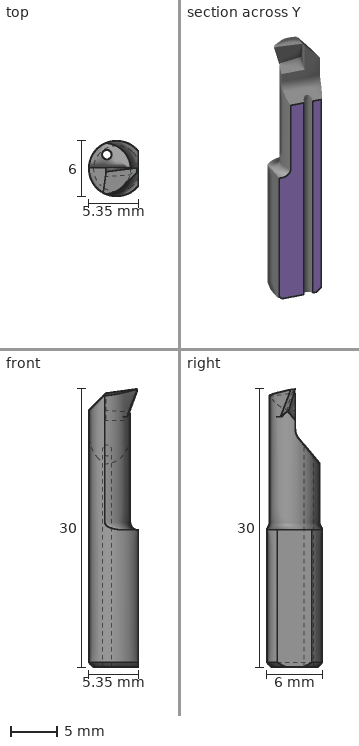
import cadquery as cq
import math

SHANK_RADIUS = 3.0
TOTAL_LENGTH = 30.0
END_CHAMFER = 0.5
FLAT_X = 2.35

NECK_RADIUS = 2.725
NECK_EDGE_X = 1.5
NECK_CENTRE_X = NECK_EDGE_X - NECK_RADIUS
SHOULDER_Z = 14.8
NECK_FILLET = 0.8

NOTCH_FACE_Y = 0.1
NOTCH_CORNER_Z = 25.08
NOTCH_SLOPE_ANGLE = 40.0
NOTCH_FILLET = 1.5

TIP_X = 2.32
TIP_Y = 0.08
TIP_ROUNDING_LOSS = 0.03
TIP_POINT = (TIP_X, TIP_Y, TOTAL_LENGTH + TIP_ROUNDING_LOSS)
RELIEF_ANGLE = 7.0
RELIEF_SLOPE = math.tan(math.radians(RELIEF_ANGLE))
END_FACE_NORMAL = (-RELIEF_SLOPE, -RELIEF_SLOPE, 1)
TIP_BASE_Z = 27.0
TIP_SIDE_ANGLE = 45.0
FLANK_ANGLE = 18.5
NOSE_RADIUS = 0.15
BACK_BEVEL_START_Z = 27.68
BACK_BEVEL_NORMAL = (-1, 0, 1)

RAKE_POCKET_X = -1.17
RAKE_POCKET_Z = 26.6
RAKE_POCKET_FILLET = 0.5
SIDE_RAKE_ANGLE = 5.0
BACK_RAKE_ANGLE = 15.0

COOLANT_DIAMETER = 1.0
COOLANT_X = -1.05
COOLANT_Y = 1.5

CLEARANCE = 2 * SHANK_RADIUS
BLOCK = 80.0


def half_space(point, normal):
    """Large block on the side of a plane that the normal points to."""
    plane = cq.Plane(origin=point, normal=normal)
    return cq.Workplane(plane).rect(BLOCK, BLOCK).extrude(BLOCK)


def make_shank():
    shank = cq.Workplane("XY").circle(SHANK_RADIUS).extrude(TOTAL_LENGTH)
    shank = shank.faces("<Z").chamfer(END_CHAMFER)
    return shank.cut(half_space((FLAT_X, 0, 0), (1, 0, 0)))


def make_neck_envelope():
    """Eccentric cylinder with a flared foot standing on a wide base."""
    base_radius = CLEARANCE
    foot_radius = NECK_RADIUS + NECK_FILLET
    foot_top_z = SHOULDER_Z + NECK_FILLET
    arc_offset = NECK_FILLET * (1 - math.sqrt(0.5))
    profile = (
        cq.Workplane("XZ")
        .lineTo(base_radius, 0)
        .lineTo(base_radius, SHOULDER_Z)
        .lineTo(foot_radius, SHOULDER_Z)
        .threePointArc(
            (NECK_RADIUS + arc_offset, SHOULDER_Z + arc_offset),
            (NECK_RADIUS, foot_top_z),
        )
        .lineTo(NECK_RADIUS, TOTAL_LENGTH)
        .lineTo(0, TOTAL_LENGTH)
        .close()
    )
    return profile.revolve(360, (0, 0, 0), (0, 1, 0)).translate((NECK_CENTRE_X, 0, 0))


def make_tip_block():
    """Wedge between the neck and the side flank, tangent to the neck."""
    side = math.radians(TIP_SIDE_ANGLE)
    tangent_x = NECK_CENTRE_X + NECK_RADIUS * math.sin(side)
    tangent_y = -NECK_RADIUS * math.cos(side)
    outer_x = SHANK_RADIUS
    outer_y = tangent_y + (outer_x - tangent_x) * math.tan(side)
    wedge = (
        cq.Workplane("XY")
        .workplane(offset=TIP_BASE_Z)
        .moveTo(NECK_CENTRE_X, 0)
        .lineTo(tangent_x, tangent_y)
        .lineTo(outer_x, outer_y)
        .lineTo(outer_x, SHANK_RADIUS)
        .lineTo(NECK_CENTRE_X, SHANK_RADIUS)
        .close()
        .extrude(CLEARANCE)
    )
    flank = math.tan(math.radians(FLANK_ANGLE))
    wedge = wedge.cut(half_space(TIP_POINT, (1, -RELIEF_SLOPE, -flank)))
    wedge = wedge.cut(half_space(TIP_POINT, END_FACE_NORMAL))
    nose = cq.selectors.NearestToPointSelector(TIP_POINT)
    return wedge.edges(nose).fillet(NOSE_RADIUS)


def make_notch():
    slope = math.radians(NOTCH_SLOPE_ANGLE)
    outer_y = CLEARANCE
    outer_z = NOTCH_CORNER_Z - (outer_y - NOTCH_FACE_Y) / math.tan(slope)
    top_z = TOTAL_LENGTH + SHANK_RADIUS
    notch = (
        cq.Workplane("YZ")
        .moveTo(NOTCH_FACE_Y, NOTCH_CORNER_Z)
        .lineTo(outer_y, outer_z)
        .lineTo(outer_y, top_z)
        .lineTo(NOTCH_FACE_Y, top_z)
        .close()
        .extrude(CLEARANCE, both=True)
    )
    corner = cq.selectors.NearestToPointSelector((0, NOTCH_FACE_Y, NOTCH_CORNER_Z))
    return notch.edges(corner).fillet(NOTCH_FILLET)


def make_rake_pocket():
    """V-shaped pocket between the rake face and a rising floor, with a rounded bottom."""
    side_rake = math.tan(math.radians(SIDE_RAKE_ANGLE))
    back_rake = math.tan(math.radians(BACK_RAKE_ANGLE))
    floor_slope = math.tan(math.radians(NOTCH_SLOPE_ANGLE))
    pocket = cq.Workplane("XY").box(BLOCK, BLOCK, BLOCK, centered=(False, True, True))
    pocket = pocket.translate((RAKE_POCKET_X, 0, 0))
    pocket = pocket.intersect(half_space(TIP_POINT, (-side_rake, 1, -back_rake)))
    floor_point = (0, NOTCH_FACE_Y, RAKE_POCKET_Z)
    pocket = pocket.intersect(half_space(floor_point, (0, 1, floor_slope)))
    bottom = cq.selectors.NearestToPointSelector((BLOCK / 2, 0, RAKE_POCKET_Z))
    return pocket.edges(bottom).fillet(RAKE_POCKET_FILLET)


def make_coolant_hole():
    return (
        cq.Workplane("XY")
        .center(COOLANT_X, COOLANT_Y)
        .circle(COOLANT_DIAMETER / 2)
        .extrude(TOTAL_LENGTH)
    )


result = make_shank().intersect(make_neck_envelope())
result = result.cut(half_space(TIP_POINT, END_FACE_NORMAL))
result = result.union(make_tip_block())
result = result.cut(half_space((-SHANK_RADIUS, 0, BACK_BEVEL_START_Z), BACK_BEVEL_NORMAL))
result = result.cut(make_notch())
result = result.cut(make_rake_pocket())
result = result.cut(make_coolant_hole())